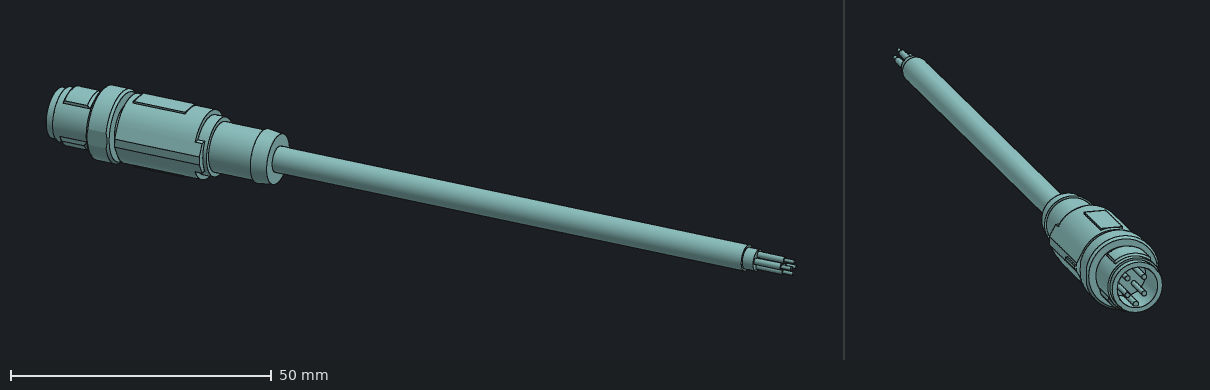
import cadquery as cq
import math


TIP_RADIUS = 5.05
TIP_LENGTH = 1.6
SLEEVE_RADIUS = 5.45
BORE_RADIUS = 4.05
BORE_DEPTH = 8.0

PIN_RADIUS = 0.5
PIN_CIRCLE_RADIUS = 2.35
PIN_SETBACK = 1.0
PIN_COUNT = 4
PIN_FIRST_ANGLE = 45
KEY_RADIUS = 0.55
KEY_OFFSET = 3.65

LUG_RADIUS = 5.9
LUG_START = 2.9
LUG_END = 8.7
LUG_FRONT_TAPER = 0.3
LUG_REAR_TAPER = 0.6
UPPER_LUG_WIDTH = 7.1
LOWER_LUG_WIDTH = 9.86

NUT_RADIUS = 7.395
NUT_START = 9.5
NUT_END = 14.4
NUT_CHAMFER = 0.5
NUT_FLAT_WIDTH = 3.3

NECK_RADIUS = 4.6
BODY_START = 15.8
BODY_END = 32.4
BODY_RADIUS = 6.9
SHOULDER_END = 34.7
SHOULDER_RADIUS = 5.9

LABEL_START = 17.2
LABEL_END = 28.3
LABEL_WIDTH = 4.3
LABEL_HEIGHT = 6.93

RIDGE_END = 33.9
RIDGE_ROOT_WIDTH = 6.3
RIDGE_CREST_WIDTH = 1.7
RIDGE_CREST = 7.4
MARKER_CREST = 7.8
MARKER_LENGTH = 6.2
MARKER_WIDTH = 0.6

BOOT_RADIUS = 5.0
COLLAR_START = 43.8
COLLAR_END = 47.1
COLLAR_RADIUS = 5.4

CABLE_RADIUS = 2.6
CABLE_END = 147.3
INNER_JACKET_RADIUS = 2.15
INNER_JACKET_END = 149.6
WIRE_COUNT = 4
WIRE_RADIUS = 0.65
WIRE_OFFSET = 1.15
WIRE_FIRST_ANGLE = -15
WIRE_END = 155.2
CONDUCTOR_RADIUS = 0.4
TOTAL_LENGTH = 157.3


def rod(start, end, radius, y=0.0, z=0.0):
    """Round rod parallel to X."""
    return cq.Workplane("YZ", origin=(start, y, z)).circle(radius).extrude(end - start)


def block(start, end, y_low, y_high, z_low, z_high):
    """Rectangular block given by its limits along each axis."""
    return cq.Workplane("XY").box(
        end - start, y_high - y_low, z_high - z_low, centered=False
    ).translate((start, y_low, z_low))


def revolved(profile):
    """Solid of revolution about X from (x, radius) points that close along the axis."""
    return cq.Workplane("XY").polyline(profile).close().revolve(360, (0, 0, 0), (1, 0, 0))


def around_axis(count, radius, first_angle):
    """(y, z) positions evenly spaced on a circle about X."""
    angles = [math.radians(first_angle + 360 * i / count) for i in range(count)]
    return [(radius * math.cos(a), radius * math.sin(a)) for a in angles]


def turned_core():
    """Stepped round body from the plug face to the end of the inner jacket."""
    return revolved([
        (0, 0),
        (0, TIP_RADIUS),
        (TIP_LENGTH, TIP_RADIUS),
        (TIP_LENGTH, SLEEVE_RADIUS),
        (NUT_START, SLEEVE_RADIUS),
        (NUT_START, NECK_RADIUS),
        (BODY_START, NECK_RADIUS),
        (BODY_START, BODY_RADIUS),
        (BODY_END, BODY_RADIUS),
        (BODY_END, SHOULDER_RADIUS),
        (SHOULDER_END, SHOULDER_RADIUS),
        (SHOULDER_END, BOOT_RADIUS),
        (COLLAR_START, BOOT_RADIUS),
        (COLLAR_START, COLLAR_RADIUS),
        (COLLAR_END, BOOT_RADIUS),
        (COLLAR_END, CABLE_RADIUS),
        (CABLE_END, CABLE_RADIUS),
        (CABLE_END, INNER_JACKET_RADIUS),
        (INNER_JACKET_END, INNER_JACKET_RADIUS),
        (INNER_JACKET_END, 0),
    ])


def locking_lugs():
    """Raised band with tapered ends, trimmed to an upper and a lower lug."""
    band = revolved([
        (LUG_START, 0),
        (LUG_START, SLEEVE_RADIUS),
        (LUG_START + LUG_FRONT_TAPER, LUG_RADIUS),
        (LUG_END - LUG_REAR_TAPER, LUG_RADIUS),
        (LUG_END, SLEEVE_RADIUS),
        (LUG_END, 0),
    ])
    upper_half = UPPER_LUG_WIDTH / 2
    lower_half = LOWER_LUG_WIDTH / 2
    upper = block(LUG_START, LUG_END, -upper_half, upper_half, 0, LUG_RADIUS)
    lower = block(LUG_START, LUG_END, -lower_half, lower_half, -LUG_RADIUS, 0)
    return band.intersect(upper.union(lower))


def nut():
    """Chamfered round nut with a flat on each Y side."""
    ring = rod(NUT_START, NUT_END, NUT_RADIUS).edges().chamfer(NUT_CHAMFER)
    flat_offset = math.sqrt(NUT_RADIUS**2 - (NUT_FLAT_WIDTH / 2) ** 2)
    between_flats = block(NUT_START, NUT_END, -flat_offset, flat_offset, -NUT_RADIUS, NUT_RADIUS)
    return ring.intersect(between_flats)


def grip_ridge():
    """Trapezoidal ridge along the +Y side of the body."""
    root_half = RIDGE_ROOT_WIDTH / 2
    crest_half = RIDGE_CREST_WIDTH / 2
    root_y = math.sqrt(BODY_RADIUS**2 - root_half**2)
    section = [
        (0, -root_half),
        (root_y, -root_half),
        (RIDGE_CREST, -crest_half),
        (RIDGE_CREST, crest_half),
        (root_y, root_half),
        (0, root_half),
    ]
    plane = cq.Workplane("YZ", origin=(BODY_START, 0, 0))
    return plane.polyline(section).close().extrude(RIDGE_END - BODY_START)


def marker():
    """Small raised bar on the crest of the +Y ridge."""
    half = MARKER_WIDTH / 2
    return block(BODY_START, BODY_START + MARKER_LENGTH, BODY_RADIUS, MARKER_CREST, -half, half)


def label_pad():
    """Flat-topped pad on the top of the body."""
    half = LABEL_WIDTH / 2
    return block(LABEL_START, LABEL_END, -half, half, NECK_RADIUS, LABEL_HEIGHT)


def contacts():
    """Pins standing on the bore floor and the coding key on the bore wall."""
    pins = cq.Workplane("XY")
    for y, z in around_axis(PIN_COUNT, PIN_CIRCLE_RADIUS, PIN_FIRST_ANGLE):
        pins = pins.union(rod(PIN_SETBACK, BORE_DEPTH, PIN_RADIUS, y, z))
    key = rod(PIN_SETBACK, BORE_DEPTH, KEY_RADIUS, 0, -KEY_OFFSET)
    return pins.union(key)


def wires():
    """Insulated wires with bare conductor ends."""
    bundle = cq.Workplane("XY")
    for y, z in around_axis(WIRE_COUNT, WIRE_OFFSET, WIRE_FIRST_ANGLE):
        bundle = bundle.union(rod(INNER_JACKET_END, WIRE_END, WIRE_RADIUS, y, z))
        bundle = bundle.union(rod(WIRE_END, TOTAL_LENGTH, CONDUCTOR_RADIUS, y, z))
    return bundle


ridge = grip_ridge()
label = label_pad()

result = turned_core()
for feature in (locking_lugs(), nut(), ridge, ridge.mirror("XZ"), marker(), label, label.mirror("XY")):
    result = result.union(feature)
result = result.cut(rod(0, BORE_DEPTH, BORE_RADIUS))
result = result.union(contacts()).union(wires())